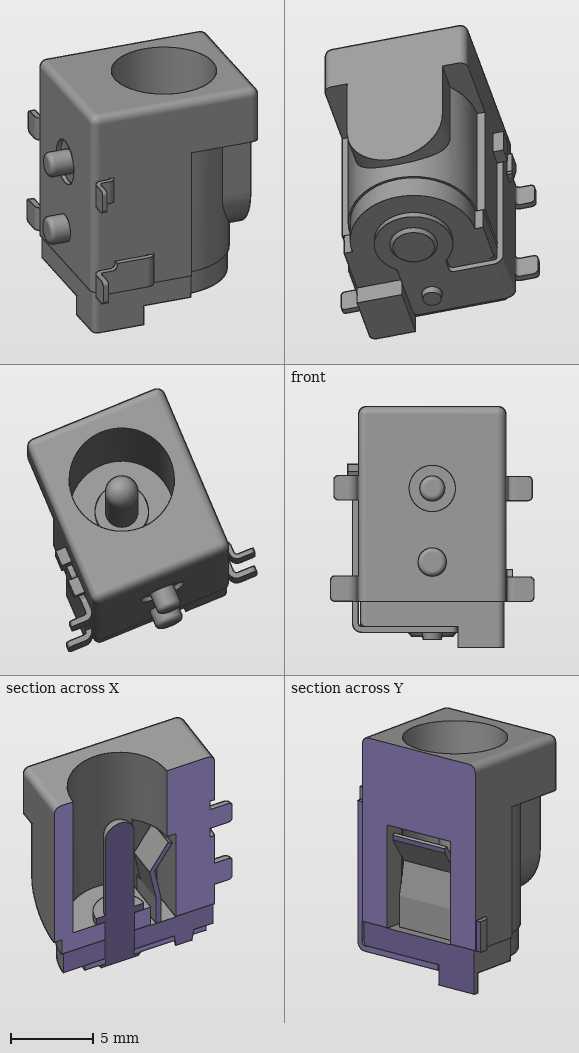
import cadquery as cq
import math

total_height = 14.7
body_half_width = 4.5
body_front = -6.5
body_back = 4.5
corner_radius = 0.5
cap_top = 2.81
cap_bottom = 1.3

barrel_radius = 3.98
overhang_bottom = 11.19
key_half_width = 3.0
key_arc_z = 6.95
bore_radius = 3.2
bore_floor = 4.26
pocket_half_width = 2.5
pocket_chord = -2.1
pocket_back = -3.82
pocket_top = 9.41

peg_length = 1.2
peg_round = 0.3
upper_peg_z = 9.7
upper_peg_radius = 0.76
lower_peg_z = 5.22
lower_peg_radius = 0.87
peg_recess_radius = 1.41
peg_recess_depth = 0.3

tab_left = -5.16
tab_bottom = 9.58
rear_tab_back = -1.9
front_tab_back = -3.88
front_tab_front = -4.94
front_tab_tip = -4.4
front_tab_slope_top = 10.73
front_tab_chamfer = 0.12

cap_inset = 0.12
foot_left = 1.56
foot_back = -3.09
relief_radius = 0.31
relief_back = -2.69
stud_y = -4.4
stud_top_radius = 0.69
stud_bottom_radius = 0.56
stud_bottom = 0.5

pin_radius = 1.0
pin_tip = 11.76
collar_radius = 1.63
collar_height = 0.5
rivet_radius = 1.45
rivet_bottom = 0.69
rivet_tip_radius = 1.26

bend_radius = 0.2
solder_foot_round = 0.28

pin_terminal_thickness = 0.37
pin_plate_front = -5.91
pin_plate_back = -2.88
pin_plate_top = 10.5
pin_plate_right = 1.53
ring_radius = 2.4
neck_round = 0.28
ring_round = 0.2
plate_corner_round = 0.32
upper_left_foot_bottom = 9.0
upper_left_foot_end = -6.0
lower_left_foot_bottom = 2.82
lower_left_foot_top = 4.38
lower_left_foot_end = -6.2
slot_bottom = 9.36
slot_tip = -4.53
slot_front = -5.23
slot_round = 0.32
plate_top_round = 0.3

terminal_outer_x = 4.9
spring_thickness = 0.35
spring_strip_y = -2.47
spring_strip_top = 4.78
spring_foot_top = 4.32
spring_foot_end = 6.2
spring_step_y = -5.04
spring_step_round = 0.35
finger_half_width = 2.07
finger_crest_y = -2.03
finger_crest_z = 7.05
finger_tip_y = -3.31
finger_tip_z = 8.97
switch_thickness = 0.3
switch_strip_y = -5.09
switch_bottom = 8.95
switch_top = 10.44
switch_foot_end = 6.1
switch_inner_end = 2.65


def box(x0, x1, y0, y1, z0, z1):
    """Box between two corner positions on each axis."""
    return cq.Workplane("XY").box(x1 - x0, y1 - y0, z1 - z0, centered=False).translate((x0, y0, z0))


def rod(radius, z0, z1):
    """Cylinder on the jack axis."""
    return cq.Workplane("XY").workplane(offset=z0).circle(radius).extrude(z1 - z0)


def front_rod(radius, z, y_start, length):
    """Cylinder that runs towards -Y from y_start at height z."""
    return cq.Workplane("XZ", origin=(0, y_start, z)).circle(radius).extrude(length)


def offset_corners(path, shift):
    """Move an open path to its left by the shift, mitring its corners."""
    normals = []
    for (xa, ya), (xb, yb) in zip(path, path[1:]):
        length = math.hypot(xb - xa, yb - ya)
        normals.append(((ya - yb) / length, (xb - xa) / length))
    moved = []
    for (x, y), (xa, ya), (xb, yb) in zip(path, normals[:1] + normals, normals + normals[-1:]):
        scale = shift / (1 + xa * xb + ya * yb)
        moved.append((x + scale * (xa + xb), y + scale * (ya + yb)))
    return moved


def bent_strip(plane, path, thickness, width):
    """Sheet with rounded bends, left of the path (right of it if the thickness is negative)."""
    far_path = offset_corners(path, thickness)
    strip = cq.Workplane(plane).polyline(path + far_path[::-1]).close().extrude(width)
    gauge = abs(thickness)
    for before, near, after, far in zip(path, path[1:], path[2:], far_path[1:]):
        run_in = (near[0] - before[0], near[1] - before[1])
        run_out = (after[0] - near[0], after[1] - near[1])
        turn = run_in[0] * run_out[1] - run_in[1] * run_out[0]
        near_is_outside = turn * thickness > 0
        near_radius = bend_radius + gauge if near_is_outside else bend_radius
        far_radius = bend_radius if near_is_outside else bend_radius + gauge
        for corner, radius in ((near, near_radius), (far, far_radius)):
            middle = plane.toWorldCoords((*corner, width / 2)).toTuple()
            strip = strip.edges(cq.selectors.NearestToPointSelector(middle)).fillet(radius)
    return strip


def level(z):
    """Horizontal work plane at height z."""
    return cq.Plane(origin=(0, 0, z))


def side_terminal(strip_start, strip_y, thickness, foot_end, z0, z1):
    """Strip that leaves the +X side, bends down along it and turns outward into a solder foot."""
    foot_inner_y = body_front + thickness
    path = [
        (strip_start, strip_y),
        (terminal_outer_x, strip_y),
        (terminal_outer_x, foot_inner_y),
        (foot_end, foot_inner_y),
    ]
    return bent_strip(level(z0), path, -thickness, z1 - z0)


def locating_peg(z, radius, root_depth):
    """Round-ended peg that stands on the front face, or on the floor of a recess in it."""
    peg = front_rod(radius, z, body_front + root_depth, root_depth + peg_length)
    return peg.faces("<Y").edges().fillet(peg_round)


def barrel_shape():
    """Rear part below the overhang: a round barrel with a round-bottomed key behind it."""
    barrel = rod(barrel_radius, cap_top, overhang_bottom)
    key = (
        cq.Workplane("XZ")
        .moveTo(-key_half_width, overhang_bottom)
        .lineTo(-key_half_width, key_arc_z)
        .threePointArc((0, key_arc_z - key_half_width), (key_half_width, key_arc_z))
        .lineTo(key_half_width, overhang_bottom)
        .close()
        .extrude(-body_back)
    )
    return barrel.union(key)


def side_tabs():
    """Two tabs on the -X side beside the pin terminal; the front one has a sloped lower corner."""
    rear = box(tab_left, -body_half_width, pin_plate_back, rear_tab_back, tab_bottom, overhang_bottom)
    front = (
        cq.Workplane("YZ", origin=(tab_left, 0, 0))
        .polyline(
            [
                (front_tab_back, overhang_bottom),
                (front_tab_back, tab_bottom),
                (front_tab_tip, tab_bottom),
                (front_tab_front, front_tab_slope_top),
                (front_tab_front, overhang_bottom),
            ]
        )
        .close()
        .extrude(-body_half_width - tab_left)
    )
    front = front.edges("|X and >Y and <Z").chamfer(front_tab_chamfer)
    return rear.union(front)


def housing_body():
    body = box(-body_half_width, body_half_width, body_front, body_back, cap_top, total_height)
    body = body.edges("|Z").fillet(corner_radius).faces(">Z").edges().fillet(corner_radius)
    body = body.cut(box(-body_half_width, body_half_width, 0, body_back, cap_top, overhang_bottom))
    body = body.union(barrel_shape()).union(side_tabs())
    body = body.cut(rod(bore_radius, bore_floor, total_height))
    body = body.cut(rod(pin_radius, cap_top, bore_floor))
    pocket = box(-pocket_half_width, pocket_half_width, pocket_back, pocket_chord, cap_top, pocket_top)
    body = body.cut(pocket)
    recess = front_rod(peg_recess_radius, upper_peg_z, body_front + peg_recess_depth, peg_recess_depth)
    body = body.cut(recess)
    body = body.union(locating_peg(upper_peg_z, upper_peg_radius, peg_recess_depth))
    return body.union(locating_peg(lower_peg_z, lower_peg_radius, 0))


def cap_stud():
    """Tapered stud that holds the pin terminal against the cap."""
    stud = cq.Workplane("XY", origin=(0, stud_y, cap_bottom)).circle(stud_top_radius)
    return stud.workplane(offset=stud_bottom - cap_bottom).circle(stud_bottom_radius).loft()


def bend_relief():
    """Rounding under the -X edge of the cap that clears the bend of the pin terminal."""
    edge_x = cap_inset - body_half_width
    inner_x = edge_x + relief_radius
    top = cap_bottom + relief_radius
    corner = box(edge_x, inner_x, body_front, relief_back, cap_bottom, top)
    round_rod = (
        cq.Workplane("XZ", origin=(inner_x, relief_back, top))
        .circle(relief_radius)
        .extrude(relief_back - body_front)
    )
    return corner.cut(round_rod)


def rear_cap_body():
    half_width = body_half_width - cap_inset
    front = body_front + cap_inset
    block = box(-half_width, half_width, front, 0, 0, cap_top)
    block = block.edges("|Z and <Y").fillet(corner_radius - cap_inset)
    foot_space = box(foot_left, half_width, front, foot_back, 0, cap_bottom)
    foot = block.intersect(foot_space)
    slab = block.intersect(box(-half_width, half_width, front, 0, cap_bottom, cap_top))
    cap = slab.union(rod(barrel_radius - cap_inset, cap_bottom, cap_top)).union(foot)
    return cap.cut(bend_relief()).union(cap_stud()).cut(rod(pin_radius, cap_bottom, cap_top))


def pin_body():
    """Ball-ended pin with a collar on the bore floor and a rivet head under its terminal."""
    ball_z = pin_tip - pin_radius
    rivet_top = cap_bottom - pin_terminal_thickness
    collar_top = bore_floor + collar_height
    diagonal = pin_radius * math.sqrt(0.5)
    return (
        cq.Workplane("XZ")
        .moveTo(0, rivet_bottom)
        .lineTo(rivet_tip_radius, rivet_bottom)
        .lineTo(rivet_radius, rivet_top)
        .lineTo(pin_radius, rivet_top)
        .lineTo(pin_radius, bore_floor)
        .lineTo(collar_radius, bore_floor)
        .lineTo(collar_radius, collar_top)
        .lineTo(pin_radius, collar_top)
        .lineTo(pin_radius, ball_z)
        .threePointArc((diagonal, ball_z + diagonal), (0, pin_tip))
        .close()
        .revolve(360, (0, 0, 0), (0, 1, 0))
    )


def left_foot(z0, z1, end_x):
    """Solder foot that turns outward from the front edge of the pin terminal."""
    outer_x = -body_half_width - pin_terminal_thickness
    inner_y = body_front + pin_terminal_thickness
    start_y = pin_plate_front + pin_terminal_thickness
    path = [(outer_x, start_y), (outer_x, inner_y), (end_x, inner_y)]
    foot = bent_strip(level(z0), path, pin_terminal_thickness, z1 - z0)
    return foot.faces("<X").edges("|Y").fillet(solder_foot_round)


def terminal_slot():
    """Notch in the top of the terminal that takes the front side tab."""
    slot = (
        cq.Workplane("YZ", origin=(tab_left, 0, 0))
        .polyline(
            [
                (front_tab_back, pin_plate_top),
                (front_tab_back, slot_bottom),
                (slot_tip, slot_bottom),
                (slot_front, pin_plate_top),
            ]
        )
        .close()
        .extrude(-body_half_width - tab_left)
    )
    return slot.faces("<Z").edges("|X").fillet(slot_round)


def riveting_plate(z0, z1):
    """Neck and ring that carry the bottom of the terminal to the rivet."""
    neck = box(-pin_plate_right, pin_plate_right, pin_plate_back, 0, z0, z1)
    plate = neck.union(rod(ring_radius, z0, z1))
    corner_y = -math.sqrt(ring_radius**2 - pin_plate_right**2)
    for side in (-1, 1):
        corner = (side * pin_plate_right, corner_y, (z0 + z1) / 2)
        plate = plate.edges(cq.selectors.NearestToPointSelector(corner)).fillet(ring_round)
    return plate


def pin_terminal_body():
    """Upright plate on the -X side that bends under the cap and runs to the rivet."""
    outer_x = -body_half_width - pin_terminal_thickness
    bottom = cap_bottom - pin_terminal_thickness
    middle_z = (bottom + cap_bottom) / 2
    path = [(outer_x, pin_plate_top), (outer_x, bottom), (pin_plate_right, bottom)]
    side_plane = cq.Plane(origin=(0, pin_plate_back, 0), xDir=(1, 0, 0), normal=(0, -1, 0))
    terminal = bent_strip(side_plane, path, pin_terminal_thickness, pin_plate_back - pin_plate_front)
    terminal = terminal.cut(terminal_slot())
    terminal = terminal.faces(">Z").edges("|X").fillet(plate_top_round)
    terminal = terminal.edges("|Z and >X and <Y").fillet(plate_corner_round)
    terminal = terminal.union(riveting_plate(bottom, cap_bottom))
    neck_corner = (-pin_plate_right, pin_plate_back, middle_z)
    terminal = terminal.edges(cq.selectors.NearestToPointSelector(neck_corner)).fillet(neck_round)
    terminal = terminal.union(left_foot(upper_left_foot_bottom, pin_plate_top, upper_left_foot_end))
    terminal = terminal.union(left_foot(lower_left_foot_bottom, lower_left_foot_top, lower_left_foot_end))
    return terminal.cut(rod(pin_radius, bottom, cap_bottom)).cut(cap_stud())


def spring_finger():
    """Leaf that leans into the bore towards the pin and flares back at its tip."""
    path = [
        (spring_strip_y, cap_top),
        (spring_strip_y, spring_strip_top),
        (finger_crest_y, finger_crest_z),
        (finger_tip_y, finger_tip_z),
    ]
    outline = path + offset_corners(path, spring_thickness)[::-1]
    finger = cq.Workplane("YZ", origin=(-finger_half_width, 0, 0)).polyline(outline).close()
    return finger.extrude(2 * finger_half_width)


def spring_terminal_body():
    terminal = side_terminal(
        -finger_half_width, spring_strip_y, spring_thickness, spring_foot_end, cap_top, spring_strip_top
    )
    above_foot = box(
        body_half_width, spring_foot_end, body_front, spring_step_y, spring_foot_top, spring_strip_top
    )
    terminal = terminal.cut(above_foot.edges(">Y and <Z").fillet(spring_step_round))
    terminal = terminal.faces(">X").edges("|Y").fillet(solder_foot_round)
    return terminal.union(spring_finger())


def switch_terminal_body():
    terminal = side_terminal(
        switch_inner_end, switch_strip_y, switch_thickness, switch_foot_end, switch_bottom, switch_top
    )
    return terminal.faces(">X").edges("|Y").fillet(solder_foot_round)


spring_terminal = spring_terminal_body()
switch_terminal = switch_terminal_body()
housing = housing_body().cut(spring_terminal).cut(switch_terminal)
rear_cap = rear_cap_body()
pin = pin_body()
pin_terminal = pin_terminal_body()

bodies = [housing, rear_cap, pin, pin_terminal, spring_terminal, switch_terminal]
result = cq.Compound.makeCompound([body.solids().val() for body in bodies])